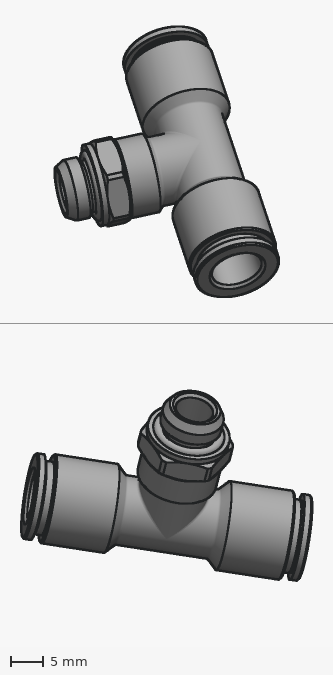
import cadquery as cq
import math

overall_length = 43.5
half_length = overall_length / 2
ring_radius = 6.75
ring_width = 1.25
groove_radius = 5.7
groove_width = 0.35
neck_radius = 5.8
body_radius = 7.0
body_start = 2.8
body_cone_start = 12.9
edge_chamfer = 0.25
tube_radius = 5.5
root_fillet = 0.52
crotch_fillet = 0.4

socket_bore_radius = 4.0
socket_mouth_chamfer = 0.5
socket_bore_depth = 13.05

branch_length = 22.5
collar_radius = 6.25
collar_cone_start = 7.4
collar_chamfer = 0.3
hex_start = 13.0
hex_across_flats = 12.95
hex_corner_radius = 7.25
hex_chamfer_angle = 30.0
flange_start = 16.5
flange_end = 17.5
flange_radius = hex_across_flats / 2
thread_radius = 4.85
undercut_radius = 4.1
undercut_end = 18.5
thread_start = 19.05
tip_chamfer_start = 21.05
tip_radius = 4.0
o_ring_section_radius = 0.8
o_ring_center = 17.35

stub_bore_radius = 2.95
stub_mouth_chamfer = 0.52
stub_bore_depth = 13.05

cone_angle = math.radians(45)
fillet_tangent = root_fillet * math.tan(cone_angle / 2)
fillet_diagonal = fillet_tangent * math.cos(cone_angle)
fillet_mid_along = root_fillet * math.sin(cone_angle / 2)
fillet_mid_rise = root_fillet * (1 - math.cos(cone_angle / 2))


def run_half():
    """Right half of the run, from the middle of the tube to the socket mouth, turned about X."""
    cone_top = half_length - body_cone_start
    cone_foot = cone_top - (body_radius - tube_radius)
    fillet_start = cone_foot - fillet_tangent
    body_end = half_length - body_start
    ring_back = half_length - ring_width
    profile = (
        cq.Workplane("XY")
        .lineTo(0, tube_radius)
        .lineTo(fillet_start, tube_radius)
        .threePointArc(
            (fillet_start + fillet_mid_along, tube_radius + fillet_mid_rise),
            (cone_foot + fillet_diagonal, tube_radius + fillet_diagonal),
        )
        .lineTo(cone_top, body_radius)
        .lineTo(body_end - edge_chamfer, body_radius)
        .lineTo(body_end, body_radius - edge_chamfer)
        .lineTo(body_end, neck_radius)
        .lineTo(ring_back - groove_width, neck_radius)
        .lineTo(ring_back - groove_width, groove_radius)
        .lineTo(ring_back, groove_radius)
        .lineTo(ring_back, ring_radius)
        .lineTo(half_length - edge_chamfer, ring_radius)
        .lineTo(half_length, ring_radius - edge_chamfer)
        .lineTo(half_length, 0)
        .close()
    )
    return profile.revolve(360, (0, 0), (1, 0))


def turned_about_y(points):
    """Solid turned about Y from (radius, distance along the branch) points."""
    outline = [(radius, -distance) for radius, distance in points]
    return cq.Workplane("XY").polyline(outline).close().revolve(360, (0, 0), (0, 1))


def branch_tube():
    """Plain tube from the run's axis down to the collar."""
    return cq.Workplane("XZ").circle(tube_radius).extrude(collar_cone_start - fillet_tangent)


def collar():
    """Round collar with a filleted cone at its root and a chamfer at the hexagon."""
    fillet_start = collar_cone_start - fillet_tangent
    cone_end = collar_cone_start + collar_radius - tube_radius
    return (
        cq.Workplane("XY")
        .moveTo(0, -fillet_start)
        .lineTo(tube_radius, -fillet_start)
        .threePointArc(
            (tube_radius + fillet_mid_rise, -(fillet_start + fillet_mid_along)),
            (tube_radius + fillet_diagonal, -(collar_cone_start + fillet_diagonal)),
        )
        .lineTo(collar_radius, -cone_end)
        .lineTo(collar_radius, -(hex_start - collar_chamfer))
        .lineTo(collar_radius - collar_chamfer, -hex_start)
        .lineTo(0, -hex_start)
        .close()
        .revolve(360, (0, 0), (0, 1))
    )


def hexagon():
    """Hexagon with corners on X, trimmed by a cylinder with conical ends."""
    across_corners = hex_across_flats / math.cos(math.radians(30))
    prism = (
        cq.Workplane("XZ", origin=(0, -hex_start, 0))
        .polygon(6, across_corners)
        .extrude(flange_start - hex_start)
    )
    bevel = (hex_corner_radius - flange_radius) * math.tan(math.radians(hex_chamfer_angle))
    envelope = turned_about_y([
        (0, hex_start),
        (flange_radius, hex_start),
        (hex_corner_radius, hex_start + bevel),
        (hex_corner_radius, flange_start - bevel),
        (flange_radius, flange_start),
        (0, flange_start),
    ])
    return prism.intersect(envelope)


def threaded_stub():
    """Flange, undercut and stub with a tapered tip."""
    return turned_about_y([
        (0, flange_start),
        (flange_radius, flange_start),
        (flange_radius, flange_end),
        (undercut_radius, flange_end),
        (undercut_radius, undercut_end),
        (thread_radius, thread_start),
        (thread_radius, tip_chamfer_start),
        (tip_radius, branch_length),
        (0, branch_length),
    ])


def o_ring():
    """Sealing ring seated on the undercut against the flange."""
    center_circle_radius = undercut_radius + o_ring_section_radius
    ring = cq.Solid.makeTorus(
        center_circle_radius,
        o_ring_section_radius,
        cq.Vector(0, -o_ring_center, 0),
        cq.Vector(0, 1, 0),
    )
    return cq.Workplane(ring)


def blind_bore(radius, mouth_chamfer, depth, mouth, inward):
    """Chamfered flat-bottomed bore, entering at a point along a direction."""
    start = cq.Vector(*mouth)
    axis = cq.Vector(*inward)
    bore = cq.Solid.makeCylinder(radius, depth, start, axis)
    countersink = cq.Solid.makeCone(radius + mouth_chamfer, radius, mouth_chamfer, start, axis)
    return cq.Workplane(bore.fuse(countersink))


def filleted_tee():
    """Straight run with the branch tube joined to it and the joint seams filleted."""
    half = run_half()
    tee = half.mirror("YZ").union(half).union(branch_tube())
    seams = [edge for edge in tee.edges().vals() if edge.geomType() == "ELLIPSE"]
    return tee.newObject(seams).fillet(crotch_fillet)


result = filleted_tee().union(collar()).union(hexagon()).union(threaded_stub()).union(o_ring())
for side in (-1, 1):
    socket_bore = blind_bore(
        socket_bore_radius,
        socket_mouth_chamfer,
        socket_bore_depth,
        mouth=(side * half_length, 0, 0),
        inward=(-side, 0, 0),
    )
    result = result.cut(socket_bore)
stub_bore = blind_bore(
    stub_bore_radius,
    stub_mouth_chamfer,
    stub_bore_depth,
    mouth=(0, -branch_length, 0),
    inward=(0, 1, 0),
)
result = result.cut(stub_bore)